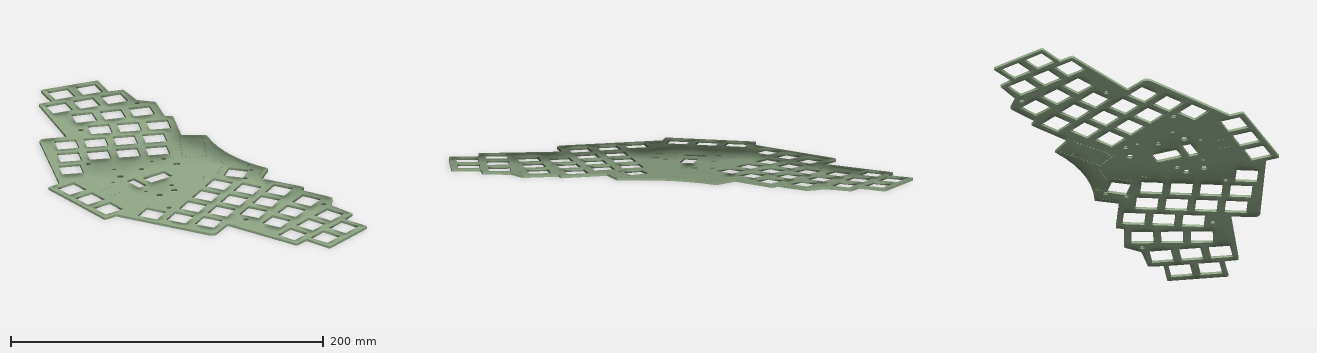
import cadquery as cq
import math

length = 304.5
depth = 135.0
thickness = 1.6
corner_radius = 1.0
palm_corner_radius = 3.7
shoulder_radius = 1.2

wing_tilt = 15
tilt_radians = math.radians(wing_tilt)
rounding_loss = corner_radius * (math.cos(tilt_radians) + math.sin(tilt_radians) - 1)
wing_tip_x = length / 2 + rounding_loss

front_y = -depth / 2
shoulder = (32.5, 62.5)
palm_corner = (92.5, -27.0)
wing_outline = [
    shoulder,
    (42.0, 49.3),
    (69.5, 63.3),
    (71.8, 58.8),
    (93.0, 67.5),
    (103.0, 59.7),
    (121.0, 62.7),
    (124.2, 53.3),
    (142.2, 58.5),
    (wing_tip_x, 20.0),
    (134.0, 15.5),
    (136.0, 6.0),
    (84.5, -10.5),
    palm_corner,
    (29.8, -58.0),
    (29.8, front_y),
]
back_arc_bottom_y = 56.0

key_size = 14.0
column_travel = 57.2
key_pitch = column_travel / 3
thumb_row_y = -56.5

outer_columns = [
    (-135.0, 45.7, wing_tilt, 2),
    (-114.0, 50.0, wing_tilt, 3),
    (-87.7, 52.0, 22, 3),
    (-64.2, 47.8, 27, 3),
]
inner_columns = [
    (-49.5, 33.5, 27, 4),
    (-33.2, 23.0, 27, 4),
    (-43.2, -38.7, 27, 1),
]
key_mirror_x = -0.5
inner_shift_x = 0.5
inner_shift_y = -0.5

mount_diameter = 3.5
left_mounts = [(-99.0, 57.0), (-87.7, 3.0), (-43.2, -25.0)]

standoff_diameter = 4.3
standoffs = [(-8.8, 20.0), (22.5, -5.8), (22.8, -18.0), (-15.2, -20.5)]
support_diameter = 3.5
supports = [(-20.0, 18.3), (-16.0, -2.7), (15.2, -2.5)]
locator_diameter = 2.4
locators = [(-21.5, 9.7), (-26.2, -17.0), (13.0, -21.5), (-10.7, -29.8)]

sensor_x = -0.3
sensor_y = -1.8
sensor_width = 9.5
sensor_length = 17.5
lens_x = -1.0
lens_y = -18.3
lens_width = 14.0
lens_length = 6.5
sensor_pin_diameter = 0.7
sensor_pin_pitch = 1.77
sensor_pin_count = 8
sensor_row_spacing = 10.7
header_x = 5.2
header_y = 44.7

pin_pitch = 2.53
controller_pin_diameter = 1.0
controller_x = -31.5
controller_y = 58.5
controller_tilt = -33.5
controller_length_pins = 13
controller_width_pins = 7
inset_offset = 2.0
near_inset_step = 3
far_inset_step = 11

roller_x = 25.0
roller_y = 42.0
roller_size = 13.0
roller_tilt = 37
roller_peg_diameter = 3.0
roller_pegs = [(27.5, 52.5), (35.5, 41.5)]
roller_pin_diameter = 1.1
roller_pin_angle = roller_tilt - 90
roller_rows = [
    (20.0, 56.0, 1.92, 3),
    (31.7, 57.8, 1.98, 5),
    (12.8, 39.5, 2.6, 5),
]

connector_x = 17.0
connector_y = 22.2
connector_angle = -42
connector_pitch = 2.5
connector_pins = 3
connector_pin_diameter = 1.2

thumb_pin_diameter = 1.0
thumb_pin_x = [-5.5, 4.5]
thumb_pin_y = [-36.5, -40.2, -43.0]


def pin_row(x, y, angle, pitch, count):
    """Evenly spaced points that start at x, y and run along an angle in degrees."""
    run_x = pitch * math.cos(math.radians(angle))
    run_y = pitch * math.sin(math.radians(angle))
    return [(x + i * run_x, y + i * run_y) for i in range(count)]


def centred_row(x, y, angle, pitch, count):
    """Evenly spaced points along an angle, with their middle at x, y."""
    start = pin_row(x, y, angle + 180, pitch * (count - 1) / 2, 2)[1]
    return pin_row(*start, angle, pitch, count)


def mirror_key_x(x):
    return 2 * key_mirror_x - x


def drills(points, diameter):
    return cq.Workplane("XY").pushPoints(points).circle(diameter / 2).extrude(thickness)


def window(x, y, width, length, tilt=0):
    block = cq.Workplane("XY").rect(width, length).extrude(thickness)
    return block.rotate((0, 0, 0), (0, 0, 1), tilt).translate((x, y, 0))


def round_corners(plate, corners, radius):
    for x, y in corners:
        for side in (-1, 1):
            corner = cq.selectors.NearestToPointSelector((side * x, y, thickness / 2))
            plate = plate.edges(corner).fillet(radius)
    return plate


def make_plate():
    left_outline = [(-x, y) for x, y in reversed(wing_outline)]
    plate = (
        cq.Workplane("XY")
        .moveTo(*left_outline[-1])
        .threePointArc((0, back_arc_bottom_y), shoulder)
        .polyline(wing_outline[1:] + left_outline[:-1], includeCurrent=True)
        .close()
        .extrude(thickness)
    )
    plain_corners = [point for point in wing_outline if point not in (shoulder, palm_corner)]
    plate = round_corners(plate, plain_corners, corner_radius)
    plate = round_corners(plate, [palm_corner], palm_corner_radius)
    return round_corners(plate, [shoulder], shoulder_radius)


def column_windows(x, y, tilt, count):
    """Key windows of one column, from its top key downwards."""
    places = pin_row(x, y, tilt - 90, key_pitch, count)
    return [window(key_x, key_y, key_size, key_size, tilt) for key_x, key_y in places]


def make_key_windows():
    windows = []
    for x, y, tilt, count in outer_columns + inner_columns:
        windows += column_windows(x, y, -tilt, count)
    for x, y, tilt, count in outer_columns:
        windows += column_windows(mirror_key_x(x), y, tilt, count)
    for x, y, tilt, count in inner_columns:
        windows += column_windows(mirror_key_x(x) + inner_shift_x, y + inner_shift_y, tilt, count)
    for step in (-1, 0, 1):
        windows.append(window(step * key_pitch, thumb_row_y, key_size, key_size))
    return windows


def make_mounting_holes():
    right_mounts = [(mirror_key_x(x), y) for x, y in left_mounts]
    return [
        drills(left_mounts + right_mounts, mount_diameter),
        drills(standoffs, standoff_diameter),
        drills(supports, support_diameter),
        drills(locators, locator_diameter),
    ]


def make_sensor_cuts():
    pins = centred_row(header_x, header_y, 0, sensor_pin_pitch, sensor_pin_count)
    for side in (-1, 1):
        row_x = sensor_x + side * sensor_row_spacing / 2
        pins += centred_row(row_x, sensor_y, 90, sensor_pin_pitch, sensor_pin_count)
    return [
        window(sensor_x, sensor_y, sensor_width, sensor_length),
        window(lens_x, lens_y, lens_width, lens_length),
        drills(pins, sensor_pin_diameter),
    ]


def make_controller_holes():
    across = controller_tilt - 90
    row_spacing = pin_pitch * (controller_width_pins - 1)
    near_start = (controller_x, controller_y)
    far_start = pin_row(*near_start, across, row_spacing, 2)[1]
    near_row = pin_row(*near_start, controller_tilt, pin_pitch, controller_length_pins)
    far_row = pin_row(*far_start, controller_tilt, pin_pitch, controller_length_pins)
    end_row = pin_row(*near_row[-1], across, pin_pitch, controller_width_pins)[1:-1]
    near_inset = pin_row(*near_row[near_inset_step], across, inset_offset, 2)[1]
    far_inset = pin_row(*far_row[far_inset_step], across + 180, inset_offset, 2)[1]
    pins = near_row + far_row + end_row + [near_inset, far_inset]
    return [drills(pins, controller_pin_diameter)]


def make_roller_cuts():
    pins = []
    for x, y, pitch, count in roller_rows:
        pins += pin_row(x, y, roller_pin_angle, pitch, count)
    return [
        window(roller_x, roller_y, roller_size, roller_size, roller_tilt),
        drills(roller_pegs, roller_peg_diameter),
        drills(pins, roller_pin_diameter),
    ]


def make_connector_holes():
    connector = pin_row(connector_x, connector_y, connector_angle, connector_pitch, connector_pins)
    thumb_pins = [(x, y) for x in thumb_pin_x for y in thumb_pin_y]
    return [
        drills(connector, connector_pin_diameter),
        drills(thumb_pins, thumb_pin_diameter),
    ]


result = make_plate()
cuts = (
    make_key_windows()
    + make_mounting_holes()
    + make_sensor_cuts()
    + make_controller_holes()
    + make_roller_cuts()
    + make_connector_holes()
)
for cut in cuts:
    result = result.cut(cut)